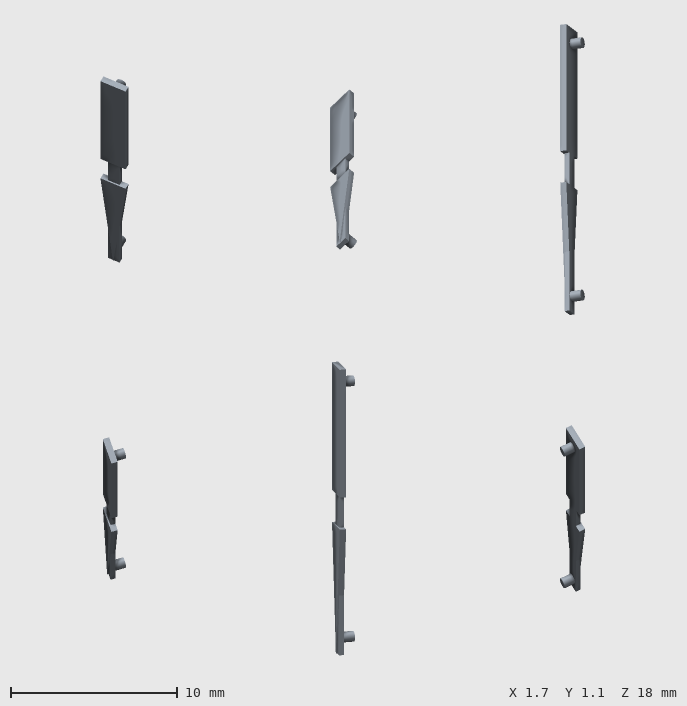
import cadquery as cq

total_length = 18.0
plate_width = 1.7
total_depth = 1.1

plate_thickness = 0.4
gap_length = 2.0
plate_length = (total_length - gap_length) / 2
pointer_length = plate_length

strip_width = 0.8
strip_thickness = 0.3

pin_diameter = 0.65
pin_end_distance = 1.0
pin_length = total_depth - plate_thickness


def make_strip():
    """Full-length backing strip, with its back face on Y = 0."""
    return cq.Workplane("XY").box(
        strip_width, strip_thickness, total_length, centered=(True, False, False)
    ).translate((0, -strip_thickness, 0))


def make_plate():
    """Rectangular plate at the upper end."""
    return cq.Workplane("XY").box(
        plate_width, plate_thickness, plate_length, centered=(True, False, False)
    ).translate((0, -plate_thickness, total_length - plate_length))


def make_pointer():
    """Triangular plate tapering to a point at the lower end."""
    half_width = plate_width / 2
    outline = [(0, 0), (half_width, pointer_length), (-half_width, pointer_length)]
    return cq.Workplane("XZ").polyline(outline).close().extrude(plate_thickness)


def make_pin(height):
    """Pin pointing toward +Y, rooted in the strip for a sound joint."""
    return (
        cq.Workplane("XZ", origin=(0, pin_length, 0))
        .center(0, height)
        .circle(pin_diameter / 2)
        .extrude(pin_length + strip_thickness / 2)
    )


result = make_strip().union(make_plate()).union(make_pointer())
for pin_height in (pin_end_distance, total_length - pin_end_distance):
    result = result.union(make_pin(pin_height))